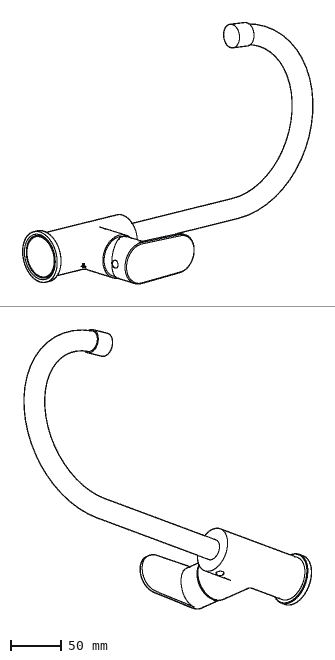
import cadquery as cq
import math


COLUMN_RADIUS = 22.5
COLUMN_LENGTH = 110.5
FLANGE_RADIUS = 26.0
FLANGE_THICKNESS = 5.8
FLANGE_EDGE_CHAMFER = 0.7

RECESS_RADIUS = 23.0
RECESS_DEPTH = 1.0
RECESS_FLOOR_RADIUS = 21.7
PLUG_RADIUS = 20.5
PLUG_DEPTH = 0.7

BRANCH_UNDERSIZE = 0.1
BRANCH_RADIUS = COLUMN_RADIUS - BRANCH_UNDERSIZE
BRANCH_AXIS_Y = 60.5
BRANCH_LENGTH = 51.8
BRANCH_FILLET = 4.5
BALL_RADIUS = 20.5

PIPE_RADIUS = 10.5
TOTAL_LENGTH = 362.0
BEND_RADIUS = 89.8
BEND_CENTRE_Y = TOTAL_LENGTH - PIPE_RADIUS - BEND_RADIUS
BEND_ANGLE = 171.4
COLLAR_RADIUS = 12.0
COLLAR_LENGTH = 19.5
COLLAR_OVERLAP = 0.7
COLLAR_TILT = 5.5

HUB_RADIUS = 21.5
HUB_START_X = 54.3
HANDLE_END_X = 85.0
HUB_CUT_END_X = 64.0
HANDLE_EDGE_CHAMFER = 1.0

TIP_RADIUS = 20.0
TIP_Y = 131.8
TIP_CENTRE_Y = TIP_Y - TIP_RADIUS
CROWN_X = 78.0
CROWN_RADIUS = 79.5
TIP_UNDERSIDE_X = 80.7
TIP_SLOPE_LENGTH = 16.3

HUB_BUTTON_X = 69.5
COLUMN_BUTTON_Y = 100.3
BUTTON_RADIUS = 4.0
BUTTON_HEIGHT = 1.5
BUTTON_FILLET = 1.25


def cylinder(start, direction, radius, length):
    return cq.Workplane(cq.Solid.makeCylinder(radius, length, cq.Vector(*start), cq.Vector(*direction)))


def make_button(seat, outward):
    """Round-edged button standing out from a seat point and sunk below it by the same height."""
    seat, outward = cq.Vector(*seat), cq.Vector(*outward)
    sunk_end = seat - outward * BUTTON_HEIGHT
    button = cylinder(sunk_end.toTuple(), outward.toTuple(), BUTTON_RADIUS, 2 * BUTTON_HEIGHT)
    outer_edge = cq.selectors.DirectionMinMaxSelector(outward)
    return button.faces(outer_edge).edges().fillet(BUTTON_FILLET)


def make_column():
    """Column with its side branch, blended where they meet."""
    column = cylinder((0, 0, 0), (0, 1, 0), COLUMN_RADIUS, COLUMN_LENGTH)
    branch = cylinder((0, BRANCH_AXIS_Y, 0), (1, 0, 0), BRANCH_RADIUS, BRANCH_LENGTH)
    joint = cq.selectors.BoxSelector(
        (-COLUMN_RADIUS, BRANCH_AXIS_Y - COLUMN_RADIUS, -COLUMN_RADIUS),
        (COLUMN_RADIUS, BRANCH_AXIS_Y + COLUMN_RADIUS, COLUMN_RADIUS),
    )
    return column.union(branch).edges(joint).fillet(BRANCH_FILLET)


def make_flange():
    """Base flange with a chamfered top edge."""
    flange = cylinder((0, 0, 0), (0, 1, 0), FLANGE_RADIUS, FLANGE_THICKNESS)
    return flange.faces(">Y").chamfer(FLANGE_EDGE_CHAMFER)


def make_recess():
    """Cutter for the shallow underside recess: sloped wall, narrow ring floor and raised plug."""
    profile = cq.Workplane("XY").polyline(
        [
            (0, 0),
            (RECESS_RADIUS, 0),
            (RECESS_FLOOR_RADIUS, RECESS_DEPTH),
            (PLUG_RADIUS, RECESS_DEPTH),
            (PLUG_RADIUS, PLUG_DEPTH),
            (0, PLUG_DEPTH),
        ]
    )
    return profile.close().revolve(360, (0, 0, 0), (0, 1, 0))


def make_ball():
    """Half ball on the end of the branch."""
    centre = cq.Vector(BRANCH_LENGTH, BRANCH_AXIS_Y, 0)
    return cq.Workplane(cq.Solid.makeSphere(BALL_RADIUS, centre, cq.Vector(1, 0, 0), 0, 90, 360))


def make_spout():
    """Pipe that leaves the column along +Y and bends back in the YZ plane."""

    def bend_point(angle):
        """Y and Z of the pipe centre line after turning by the angle."""
        turn = math.radians(angle)
        return (
            BEND_CENTRE_Y + BEND_RADIUS * math.sin(turn),
            BEND_RADIUS * (1 - math.cos(turn)),
        )

    bend_end = bend_point(BEND_ANGLE)
    path = (
        cq.Workplane("YZ")
        .moveTo(COLUMN_LENGTH, 0)
        .lineTo(BEND_CENTRE_Y, 0)
        .threePointArc(bend_point(BEND_ANGLE / 2), bend_end)
    )
    pipe = cq.Workplane("XZ", origin=(0, COLUMN_LENGTH, 0)).circle(PIPE_RADIUS).sweep(path)
    tilt = math.radians(COLLAR_TILT)
    heading_y, heading_z = -math.cos(tilt), math.sin(tilt)
    collar_start = (
        0,
        bend_end[0] - COLLAR_OVERLAP * heading_y,
        bend_end[1] - COLLAR_OVERLAP * heading_z,
    )
    collar = cylinder(collar_start, (0, heading_y, heading_z), COLLAR_RADIUS, COLLAR_LENGTH)
    return pipe.union(collar)


def make_housing():
    """Fixed body: column, flange, ball, spout and column button."""
    column_button = make_button((0, COLUMN_BUTTON_Y, -COLUMN_RADIUS), (0, 0, -1))
    base = make_column().union(make_flange()).cut(make_recess())
    return base.union(make_ball()).union(make_spout()).union(column_button)


def make_hub():
    """Hub with its lower half cut back along a slanted plane."""
    hub = cylinder(
        (HUB_START_X, BRANCH_AXIS_Y, 0), (1, 0, 0), HUB_RADIUS, HANDLE_END_X - HUB_START_X
    )
    wedge = (
        cq.Workplane("XY")
        .moveTo(HUB_START_X, BRANCH_AXIS_Y)
        .lineTo(HUB_CUT_END_X, BRANCH_AXIS_Y - HUB_RADIUS)
        .lineTo(HUB_START_X, BRANCH_AXIS_Y - HUB_RADIUS)
        .close()
        .extrude(HUB_RADIUS, both=True)
    )
    return hub.cut(wedge)


def make_paddle():
    """Crowned plate around the hub circle and the tip circle, joined by their common tangents."""
    span = TIP_CENTRE_Y - BRANCH_AXIS_Y
    tangent_sine = (HUB_RADIUS - TIP_RADIUS) / span
    tangent_cosine = math.sqrt(1 - tangent_sine**2)
    hub_y, hub_z = BRANCH_AXIS_Y + HUB_RADIUS * tangent_sine, HUB_RADIUS * tangent_cosine
    tip_y, tip_z = TIP_CENTRE_Y + TIP_RADIUS * tangent_sine, TIP_RADIUS * tangent_cosine
    plate = (
        cq.Workplane("YZ", origin=(CROWN_X, 0, 0))
        .moveTo(hub_y, -hub_z)
        .lineTo(tip_y, -tip_z)
        .threePointArc((TIP_Y, 0), (tip_y, tip_z))
        .lineTo(hub_y, hub_z)
        .threePointArc((BRANCH_AXIS_Y - HUB_RADIUS, 0), (hub_y, -hub_z))
        .close()
        .extrude(HANDLE_END_X - CROWN_X)
    )
    crown = cylinder((CROWN_X + CROWN_RADIUS, 0, 0), (0, 1, 0), CROWN_RADIUS, TIP_Y)
    tip_slope = math.degrees(math.atan2(TIP_UNDERSIDE_X - CROWN_X, TIP_SLOPE_LENGTH))
    slope_start = (CROWN_X, TIP_Y - TIP_SLOPE_LENGTH, 0)
    slope_axis_end = (CROWN_X, TIP_Y - TIP_SLOPE_LENGTH, 1)
    tip_crown = crown.translate((0, TIP_SLOPE_LENGTH, 0)).rotate(slope_start, slope_axis_end, -tip_slope)
    return plate.intersect(crown).intersect(tip_crown)


def make_handle():
    """Hub and paddle in one piece, with a socket that seats on the ball."""
    hub_button = make_button((HUB_BUTTON_X, BRANCH_AXIS_Y - HUB_RADIUS, 0), (0, -1, 0))
    lever = make_hub().union(make_paddle()).faces(">X").chamfer(HANDLE_EDGE_CHAMFER)
    return lever.union(hub_button).cut(make_ball())


housing = make_housing()
handle = make_handle()

result = cq.Compound.makeCompound([housing.val(), handle.val()])